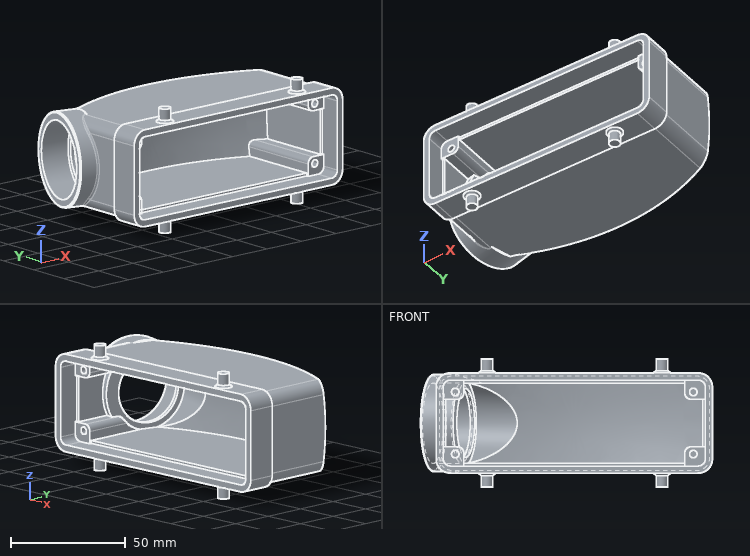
import cadquery as cq
import math

rim_length = 120.6
rim_height = 43.8
rim_depth = 13.2
rim_corner_radius = 6.3
rim_wall = 3.15
mouth_depth = 10.0
mouth_length = rim_length - 2 * rim_wall
mouth_height = rim_height - 2 * rim_wall

hood_length = 117.8
hood_height = 41.2
hood_corner_radius = 5.6
hood_wall_ends = 2.95
hood_wall_sides = 3.15
hollow_length = hood_length - 2 * hood_wall_ends
hollow_height = hood_height - 2 * hood_wall_sides

dome_radius = 120.0
dome_peak = 62.9
dome_thickness = 3.2
dome_centre = dome_peak - dome_radius

entry_tilt = 15.0
entry_face_x = -61.73
entry_face_y = 48.26
entry_diameter = 42.5
entry_chamfer = 0.5
entry_round_length = 11.0
neck_reach = 42.0
neck_fillet = 0.9
bore_diameter = 35.0
bore_depth = 12.9
lip_diameter = 30.0
lip_thickness = 2.0
clearance_diameter = 36.0
stub_length = bore_depth + lip_thickness

post_front = 9.0
post_length = 9.0
post_width = 8.4
post_edge_radius = 2.8
screw_hole_diameter = 3.3
screw_hole_depth = 12.0
screw_spacing_x = 103.8
screw_spacing_z = 27.1

pin_diameter = 5.17
pin_foot_diameter = 7.6
pin_foot_height = 1.0
pin_span = 56.0
pin_spacing = 76.3
pin_middle_x = 0.1
pin_y = 5.2


def block(length, height, start, end, corner_radius):
    """Round-cornered block centred on the Y axis, from Y = start to Y = end."""
    return (
        cq.Workplane("XZ", origin=(0, start, 0))
        .rect(length, height)
        .extrude(start - end)
        .edges("|Y")
        .fillet(corner_radius)
    )


def slab(height):
    """Layer centred on Z = 0, wider than the part."""
    return cq.Workplane("XY").box(4 * hood_length, 4 * hood_length, height)


def dome_ball(radius):
    """Ball whose poles lie on the Y axis."""
    ball = cq.Workplane("XY").sphere(radius).rotate((0, 0, 0), (1, 0, 0), -90)
    return ball.translate((0, dome_centre, 0))


def entry_cylinder(diameter, start, end):
    """Cylinder on the entry axis, measured inward from the entry face."""
    tilt = math.radians(entry_tilt)
    axis = cq.Vector(math.cos(tilt), -math.sin(tilt), 0)
    base = cq.Vector(entry_face_x, entry_face_y, 0) + axis * start
    return cq.Workplane(cq.Solid.makeCylinder(diameter / 2, end - start, base, axis))


def make_domed_hood():
    """Hood with the flat-sided neck that carries the cable entry, blended where they meet."""
    hood = block(hood_length, hood_height, 0, dome_peak, hood_corner_radius)
    hood = hood.intersect(dome_ball(dome_radius))
    neck = entry_cylinder(entry_diameter, entry_chamfer, neck_reach).intersect(slab(hood_height))
    hood = hood.union(neck)
    meeting_edges = [edge for edge in hood.edges("not (%LINE or %CIRCLE)").vals() if edge.Center().x < 0]
    return hood.newObject(meeting_edges).fillet(neck_fillet)


def make_shell():
    """Outside of the housing: rim, domed hood and the full-round end of the cable entry."""
    rim = block(rim_length, rim_height, 0, rim_depth, rim_corner_radius)
    entry_end = entry_cylinder(entry_diameter, 0, entry_round_length).faces("<X").chamfer(entry_chamfer)
    return make_domed_hood().union(rim).union(entry_end)


def make_cavity():
    """Mouth recess and hood hollow, leaving the inner end of the cable entry standing."""
    mouth = block(mouth_length, mouth_height, 0, mouth_depth, rim_corner_radius - rim_wall)
    hollow = block(hollow_length, hollow_height, 0, dome_peak, hood_corner_radius - hood_wall_sides)
    hollow = hollow.intersect(dome_ball(dome_radius - dome_thickness))
    hollow = hollow.cut(entry_cylinder(entry_diameter, 0, stub_length))
    return mouth.union(hollow)


def make_entry_passage():
    """Outer bore, lip hole, and the clearance bore that runs on under the dome."""
    outer_bore = entry_cylinder(bore_diameter, 0, bore_depth)
    lip_hole = entry_cylinder(lip_diameter, 0, neck_reach)
    clearance = entry_cylinder(clearance_diameter, stub_length, neck_reach)
    clearance = clearance.intersect(slab(hollow_height))
    return outer_bore.union(lip_hole).union(clearance)


def make_posts():
    """Screw posts in the four corners, from their front faces up to the roof."""
    posts = cq.Workplane("XY")
    for side_x in (-1, 1):
        for side_z in (-1, 1):
            post = block(2 * post_length, 2 * post_width, post_front, dome_peak, post_edge_radius)
            post = post.translate((side_x * mouth_length / 2, 0, side_z * mouth_height / 2))
            posts = posts.add(post)
    envelope = block(mouth_length, mouth_height, 0, dome_peak, rim_corner_radius - rim_wall)
    body = block(hood_length, hood_height, 0, dome_peak, hood_corner_radius)
    envelope = envelope.intersect(body).intersect(dome_ball(dome_radius - dome_thickness / 2))
    return posts.combine().intersect(envelope)


def make_screw_holes():
    return (
        cq.Workplane("XZ", origin=(0, post_front, 0))
        .rect(screw_spacing_x, screw_spacing_z, forConstruction=True)
        .vertices()
        .circle(screw_hole_diameter / 2)
        .extrude(-screw_hole_depth)
    )


def make_housing():
    shell = make_shell().cut(make_cavity()).union(make_posts())
    return shell.cut(make_entry_passage()).cut(make_screw_holes())


def make_pin(x, side):
    """Locking pin standing on a rim side (+1 or -1), with a conical foot."""
    base = rim_height / 2
    radius = pin_diameter / 2
    profile = (
        cq.Workplane("XZ")
        .moveTo(0, base)
        .lineTo(pin_foot_diameter / 2, base)
        .lineTo(radius, base + pin_foot_height)
        .lineTo(radius, pin_span / 2)
        .lineTo(0, pin_span / 2)
        .close()
    )
    pin = profile.revolve(360, (0, 0, 0), (0, 1, 0))
    if side < 0:
        pin = pin.mirror("XY")
    return pin.translate((x, pin_y, 0))


housing = make_housing()
pins = [
    make_pin(pin_middle_x + end * pin_spacing / 2, side)
    for end in (-1, 1)
    for side in (-1, 1)
]

result = cq.Compound.makeCompound([housing.solids().val(), *[pin.val() for pin in pins]])